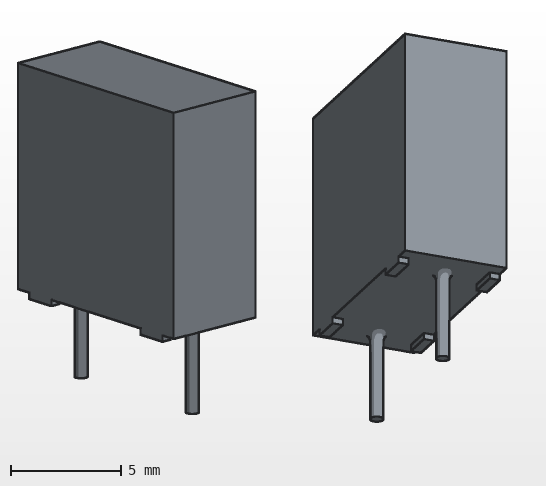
import cadquery as cq

case_length = 10.5
case_width = 5.0
seated_height = 11.0
foot_height = 0.3
foot_length = 1.5
foot_width = 0.5

pin_pitch = 7.5
pin_diameter = 0.6
pin_length = 4.0

root_fillet = 0.5

pin_radius = pin_diameter / 2
case_bottom = foot_height
case_height = seated_height - foot_height
pin_positions = [-pin_pitch / 2, pin_pitch / 2]


def make_case():
    """Plain rectangular case resting on top of the feet."""
    return (
        cq.Workplane("XY")
        .workplane(offset=case_bottom)
        .rect(case_length, case_width)
        .extrude(case_height)
    )


def make_feet():
    """Four feet, flush with the long sides and centred on the pins along X."""
    foot_y = (case_width - foot_width) / 2
    centres = [(x, y) for x in pin_positions for y in (-foot_y, foot_y)]
    return (
        cq.Workplane("XY")
        .pushPoints(centres)
        .rect(foot_length, foot_width)
        .extrude(foot_height)
    )


def make_pin(x):
    """Straight round pin running from the case underside to its tip."""
    return (
        cq.Workplane("XY")
        .workplane(offset=-pin_length)
        .center(x, 0)
        .circle(pin_radius)
        .extrude(pin_length + case_bottom)
    )


def fillet_pin_roots(capacitor):
    """Blend each pin into the underside of the case."""
    root_edges = cq.selectors.BoxSelector(
        (-case_length / 2, -pin_diameter, case_bottom - root_fillet / 2),
        (case_length / 2, pin_diameter, case_bottom + root_fillet / 2),
    )
    return capacitor.edges("%CIRCLE").edges(root_edges).fillet(root_fillet)


body = make_case().union(make_feet())
for pin_x in pin_positions:
    body = body.union(make_pin(pin_x))

result = fillet_pin_roots(body)